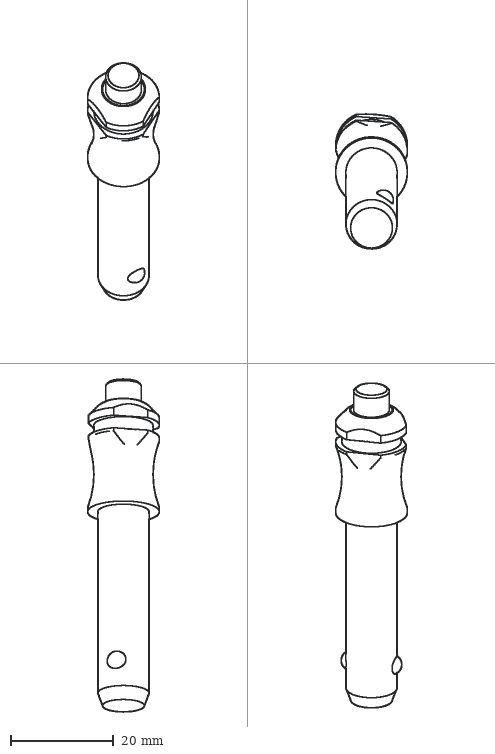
import cadquery as cq

total_height = 65.8
shank_radius = 5.0
tip_radius = 4.1
tip_height = 2.55

grip_bottom = 39.6
grip_top = 54.7
grip_diameter = 14.0
grip_radius = grip_diameter / 2
waist_radius = 5.8
lower_rim_height = 0.8
upper_rim_height = 0.6
arc_bottom = grip_bottom + lower_rim_height
arc_top = grip_top - upper_rim_height
waist_height = (arc_bottom + arc_top) / 2

neck_radius = 5.8
head_bottom = 57.25
head_rim_top = 58.8
cone_top_radius = 5.1
cone_top = 60.85
head_top_radius = 4.3
head_top = 61.45
recess_radius = 4.1
recess_depth = 0.1

button_radius = 3.5
button_chamfer = 0.45

flat_distance = 6.1
flat_count = 3
first_flat_angle = -90

ball_radius = 2.0
ball_offset = 4.1
ball_height = 7.9


def make_body():
    """Shank, waisted grip, neck and head as one revolved profile."""
    profile = (
        cq.Workplane("XZ")
        .lineTo(tip_radius, 0)
        .lineTo(shank_radius, tip_height)
        .lineTo(shank_radius, grip_bottom)
        .lineTo(grip_radius, grip_bottom)
        .lineTo(grip_radius, arc_bottom)
        .threePointArc((waist_radius, waist_height), (grip_radius, arc_top))
        .lineTo(grip_radius, grip_top)
        .lineTo(neck_radius, grip_top)
        .lineTo(neck_radius, head_bottom)
        .lineTo(grip_radius, head_bottom)
        .lineTo(grip_radius, head_rim_top)
        .lineTo(cone_top_radius, cone_top)
        .lineTo(head_top_radius, head_top)
        .lineTo(recess_radius, head_top)
        .lineTo(recess_radius, head_top - recess_depth)
        .lineTo(button_radius, head_top - recess_depth)
        .lineTo(button_radius, total_height - button_chamfer)
        .lineTo(button_radius - button_chamfer, total_height)
        .lineTo(0, total_height)
        .close()
    )
    return profile.revolve(360, (0, 0, 0), (0, 1, 0))


def make_flat_cutter(angle):
    """Block removing everything beyond one flat, from the waist up."""
    return (
        cq.Workplane("XY", origin=(0, 0, waist_height))
        .center(flat_distance + grip_radius, 0)
        .rect(2 * grip_radius, 2 * grip_radius)
        .extrude(total_height - waist_height)
        .rotate((0, 0, 0), (0, 0, 1), angle)
    )


def make_ball(side):
    """Locking ball protruding from the shank on the given X side."""
    return cq.Workplane("XY").sphere(ball_radius).translate((side * ball_offset, 0, ball_height))


result = make_body()

for index in range(flat_count):
    result = result.cut(make_flat_cutter(first_flat_angle + index * 360 / flat_count))

for side in (-1, 1):
    result = result.union(make_ball(side))